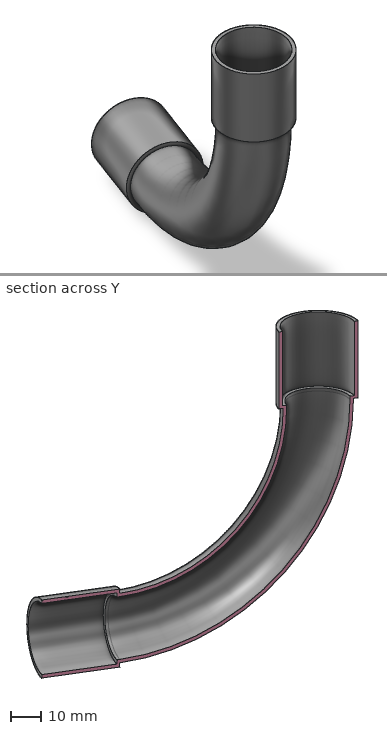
import cadquery as cq

overall = 111.5
socket_diameter = 28.0
socket_bore = 25.2
socket_length = 27.5
pipe_diameter = 25.0
pipe_bore = 22.2
shoulder = 1.1

half_size = overall / 2
socket_radius = socket_diameter / 2
axis_offset = half_size - socket_radius
bend_start = socket_length - half_size
bend_radius = axis_offset - bend_start
socket_depth = socket_length - shoulder

lower_end = cq.Plane(origin=(-half_size, 0, -axis_offset), xDir=(0, 1, 0), normal=(1, 0, 0))
upper_end = cq.Plane(origin=(axis_offset, 0, half_size), xDir=(0, 1, 0), normal=(0, 0, -1))


def cylinder(end_plane, diameter, length):
    """Cylinder running inward from an open end."""
    return cq.Workplane(end_plane).circle(diameter / 2).extrude(length)


def bend(diameter):
    """Solid quarter-turn elbow in the XZ plane, starting at the lower socket."""
    start = cq.Plane(origin=(bend_start, 0, -axis_offset), xDir=(0, 1, 0), normal=(1, 0, 0))
    return (
        cq.Workplane(start)
        .circle(diameter / 2)
        .revolve(90, (0, bend_radius, 0), (-1, bend_radius, 0))
    )


body = bend(pipe_diameter)
bore = bend(pipe_bore)
for end in (lower_end, upper_end):
    body = body.union(cylinder(end, socket_diameter, socket_length))
    bore = bore.union(cylinder(end, pipe_bore, socket_length))
    bore = bore.union(cylinder(end, socket_bore, socket_depth))

result = body.cut(bore)